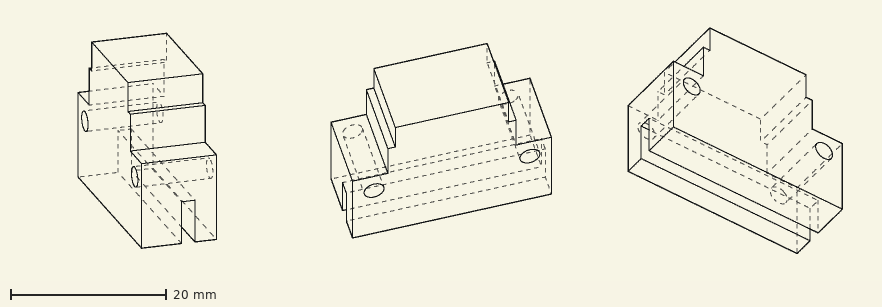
import cadquery as cq

length = 26.67
depth = 10.15
height = 20.8

base_height = 11.7
middle_width = 17.2
middle_top = 16.8
top_width = 15.2

hole_diameter = 2.67
hole_spacing = 20.88
hole_height = 8.8

slot_width = 1.8
slot_height = 5.8
slot_front_wall = 5.45


def tier(width, top):
    """Centred block standing on the bottom plane, with its front face at Y = 0."""
    return cq.Workplane("XY").box(width, depth, top, centered=(True, False, False))


body = tier(length, base_height)
body = body.union(tier(middle_width, middle_top))
body = body.union(tier(top_width, height))

hole_centers = [(side * hole_spacing / 2, hole_height) for side in (-1, 1)]
holes = (
    cq.Workplane("XZ")
    .pushPoints(hole_centers)
    .circle(hole_diameter / 2)
    .extrude(-depth)
)

slot = (
    cq.Workplane("XY")
    .box(length, slot_width, slot_height, centered=(True, False, False))
    .translate((0, slot_front_wall, 0))
)

result = body.cut(holes).cut(slot)